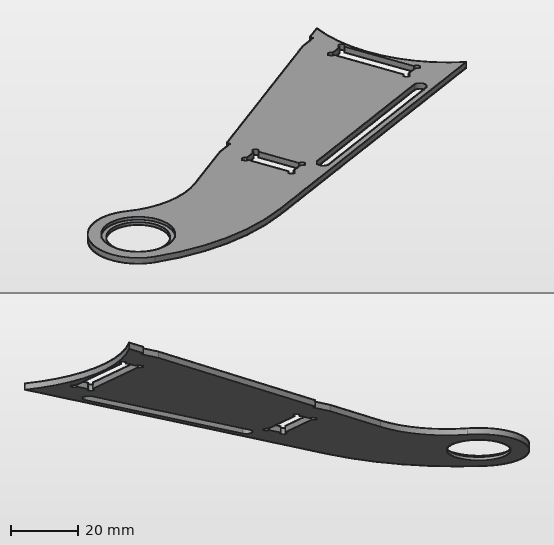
import cadquery as cq
import math

ARM_LEAN = 18.0
THICKNESS = 2.0

RING_RADIUS = 15.0
BORE_DIAMETER = 19.0
SEAT_DIAMETER = 22.0
SEAT_DEPTH = 1.0

RIGHT_EDGE = 28.0
BEND_RADIUS = 70.0

HEAD_RADIUS = 46.0
HEAD_TIP = 143.28

WAIST_RADIUS = 28.0

WINDOW_HEIGHT = 6.0
CORNER_RELIEF_RADIUS = 1.0
LOWER_WINDOW_CENTRE = (11.0, 60.0)
LOWER_WINDOW_WIDTH = 16.0
UPPER_WINDOW_CENTRE = (4.0, 130.0)
UPPER_WINDOW_WIDTH = 26.0
LOWER_NOTCH_WALL = -5.8
UPPER_NOTCH_WALL = -18.8

SLOT_WIDTH = 4.0
SLOT_LENGTH = 60.0
SLOT_CENTRE = (24.0, (LOWER_WINDOW_CENTRE[1] + UPPER_WINDOW_CENTRE[1]) / 2)

LOWER_NOTCH_BOTTOM = LOWER_WINDOW_CENTRE[1] - WINDOW_HEIGHT / 2
UPPER_NOTCH_BOTTOM = UPPER_WINDOW_CENTRE[1] - WINDOW_HEIGHT / 2
LEFT_EDGE_ANGLE = math.atan2(
    UPPER_NOTCH_BOTTOM - LOWER_NOTCH_BOTTOM, UPPER_NOTCH_WALL - LOWER_NOTCH_WALL
)
EDGE_DIRECTION = (math.cos(LEFT_EDGE_ANGLE), math.sin(LEFT_EDGE_ANGLE))
EDGE_OUTWARD = (-EDGE_DIRECTION[1], EDGE_DIRECTION[0])


def point_on_circle(centre, radius, angle):
    return (centre[0] + radius * math.cos(angle), centre[1] + radius * math.sin(angle))


def angle_from(centre, point):
    return math.atan2(point[1] - centre[1], point[0] - centre[0])


def edge_point(offset, distance):
    """Point at a distance along the left edge, moved outward by offset."""
    return (
        LOWER_NOTCH_WALL + distance * EDGE_DIRECTION[0] + offset * EDGE_OUTWARD[0],
        LOWER_NOTCH_BOTTOM + distance * EDGE_DIRECTION[1] + offset * EDGE_OUTWARD[1],
    )


def line_circle_distances(offset, centre, radius):
    """Distances along the (offset) left edge where it crosses a circle, lowest first."""
    start = edge_point(offset, 0)
    from_centre = (start[0] - centre[0], start[1] - centre[1])
    half_b = from_centre[0] * EDGE_DIRECTION[0] + from_centre[1] * EDGE_DIRECTION[1]
    constant = from_centre[0] ** 2 + from_centre[1] ** 2 - radius**2
    root = math.sqrt(half_b**2 - constant)
    return -half_b - root, -half_b + root


def make_plate():
    head_centre = (0, HEAD_TIP + math.sqrt(HEAD_RADIUS**2 - RIGHT_EDGE**2))

    _, waist_distance = line_circle_distances(WAIST_RADIUS, (0, 0), RING_RADIUS + WAIST_RADIUS)
    waist_centre = edge_point(WAIST_RADIUS, waist_distance)
    waist_top = edge_point(0, waist_distance)
    ring_direction = angle_from((0, 0), waist_centre)
    waist_bottom = point_on_circle((0, 0), RING_RADIUS, ring_direction)
    waist_top_angle = angle_from(waist_centre, waist_top)
    waist_bottom_angle = angle_from(waist_centre, waist_bottom)
    waist_middle = point_on_circle(waist_centre, WAIST_RADIUS, (waist_top_angle + waist_bottom_angle) / 2)

    left_tip_distance, _ = line_circle_distances(0, head_centre, HEAD_RADIUS)
    left_tip = edge_point(0, left_tip_distance)
    right_tip = (RIGHT_EDGE, HEAD_TIP)

    bend_start = math.sqrt((BEND_RADIUS - RING_RADIUS) ** 2 - (BEND_RADIUS - RIGHT_EDGE) ** 2)
    bend_centre = (RIGHT_EDGE - BEND_RADIUS, bend_start)
    bend_end_angle = angle_from(bend_centre, (0, 0))
    bend_end = point_on_circle(bend_centre, BEND_RADIUS, bend_end_angle)
    bend_middle = point_on_circle(bend_centre, BEND_RADIUS, bend_end_angle / 2)
    ring_bottom = (0, -RING_RADIUS)

    return (
        cq.Workplane("XY")
        .moveTo(*right_tip)
        .lineTo(RIGHT_EDGE, bend_start)
        .threePointArc(bend_middle, bend_end)
        .threePointArc(ring_bottom, waist_bottom)
        .threePointArc(waist_middle, waist_top)
        .lineTo(*left_tip)
        .threePointArc((head_centre[0], head_centre[1] - HEAD_RADIUS), right_tip)
        .close()
        .extrude(THICKNESS)
    )


def make_window(centre, width):
    """Rectangular cutter with a round relief centred on each corner."""
    plane = cq.Workplane("XY").center(*centre)
    opening = plane.rect(width, WINDOW_HEIGHT).extrude(THICKNESS)
    reliefs = (
        plane.rect(width, WINDOW_HEIGHT, forConstruction=True)
        .vertices()
        .circle(CORNER_RELIEF_RADIUS)
        .extrude(THICKNESS)
    )
    return opening.union(reliefs)


def make_notch(wall, centre_along):
    """Cutter that opens the left edge as far in as the wall."""
    return (
        cq.Workplane("XY")
        .center(wall - WINDOW_HEIGHT / 2, centre_along)
        .rect(WINDOW_HEIGHT, WINDOW_HEIGHT)
        .extrude(THICKNESS)
    )


def make_slot():
    return cq.Workplane("XY").center(*SLOT_CENTRE).slot2D(SLOT_LENGTH, SLOT_WIDTH, 90).extrude(THICKNESS)


def make_stepped_bore():
    bore = cq.Workplane("XY").circle(BORE_DIAMETER / 2).extrude(THICKNESS)
    seat_plane = cq.Workplane("XY").workplane(offset=THICKNESS - SEAT_DEPTH)
    seat = seat_plane.circle(SEAT_DIAMETER / 2).extrude(SEAT_DEPTH)
    return bore.union(seat)


cutters = [
    make_window(LOWER_WINDOW_CENTRE, LOWER_WINDOW_WIDTH),
    make_window(UPPER_WINDOW_CENTRE, UPPER_WINDOW_WIDTH),
    make_notch(LOWER_NOTCH_WALL, LOWER_WINDOW_CENTRE[1]),
    make_notch(UPPER_NOTCH_WALL, UPPER_WINDOW_CENTRE[1]),
    make_slot(),
    make_stepped_bore(),
]

arm = make_plate()
for cutter in cutters:
    arm = arm.cut(cutter)

result = arm.rotate((0, 0, 0), (0, 0, 1), ARM_LEAN)